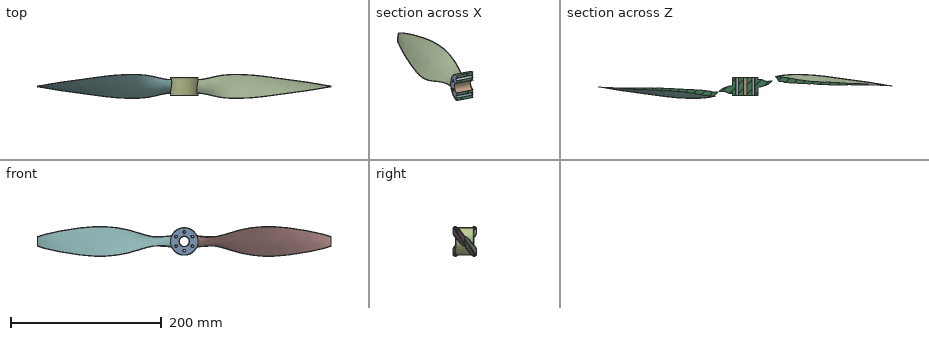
import cadquery as cq
import math

span = 390.0
tip_radius = span / 2

hub_radius = 18.5
hub_length = 24.0
hub_rim_fillet = 1.0
bore_radius = 6.5

bolt_count = 6
bolt_circle_radius = 12.5
bolt_hole_radius = 1.5

blade_sections = [
    (12.5, 8.0, 9.7, 6.2),
    (21.5, 6.2, 9.5, 6.0),
    (31.0, 5.5, 11.0, 5.0),
    (43.0, 6.5, 13.5, 4.0),
    (56.5, 10.0, 15.5, 3.0),
    (72.0, 15.0, 16.0, 2.5),
    (89.5, 18.5, 15.2, 2.0),
    (111.0, 20.0, 13.0, 2.0),
    (136.5, 18.5, 9.5, 1.5),
    (160.0, 15.0, 6.2, 1.0),
    (179.5, 11.0, 3.0, 0.8),
    (tip_radius, 6.2, 0.6, 0.5),
]


def cylinder_along_y(radius, x=0.0, z=0.0):
    """Cylinder of the hub's length, centred on y = 0."""
    front = cq.Vector(x, -hub_length / 2, z)
    return cq.Workplane(cq.Solid.makeCylinder(radius, hub_length, front, cq.Vector(0, 1, 0)))


def section_wire(distance, half_height, half_depth, half_thickness):
    """Lens of two arcs whose chord spans the given extents in Z and Y."""
    half_chord = math.hypot(half_height, half_depth)
    upper_edge = cq.Vector(distance, -half_depth, half_height)
    lower_edge = cq.Vector(distance, half_depth, -half_height)
    thickness_scale = half_thickness / half_chord
    bulge_y = half_height * thickness_scale
    bulge_z = half_depth * thickness_scale
    back_middle = cq.Vector(distance, bulge_y, bulge_z)
    front_middle = cq.Vector(distance, -bulge_y, -bulge_z)
    back = cq.Edge.makeThreePointArc(upper_edge, back_middle, lower_edge)
    front = cq.Edge.makeThreePointArc(lower_edge, front_middle, upper_edge)
    return cq.Wire.assembleEdges([back, front])


def make_blade():
    """Twisted blade on the +X side, rooted inside the hub wall."""
    return cq.Workplane(cq.Solid.makeLoft([section_wire(*section) for section in blade_sections]))


def make_bolt_holes():
    """Ring of through holes, one of them straight above the bore."""
    holes = cq.Workplane()
    for index in range(bolt_count):
        angle = math.pi / 2 + index * 2 * math.pi / bolt_count
        x = bolt_circle_radius * math.cos(angle)
        z = bolt_circle_radius * math.sin(angle)
        holes = holes.add(cylinder_along_y(bolt_hole_radius, x, z))
    return holes.combine()


hub = cylinder_along_y(hub_radius).faces(">Y").edges().fillet(hub_rim_fillet)
blade = make_blade()
opposite_blade = blade.rotate((0, 0, 0), (0, 1, 0), 180)

result = hub.union(blade).union(opposite_blade)
result = result.cut(cylinder_along_y(bore_radius)).cut(make_bolt_holes())